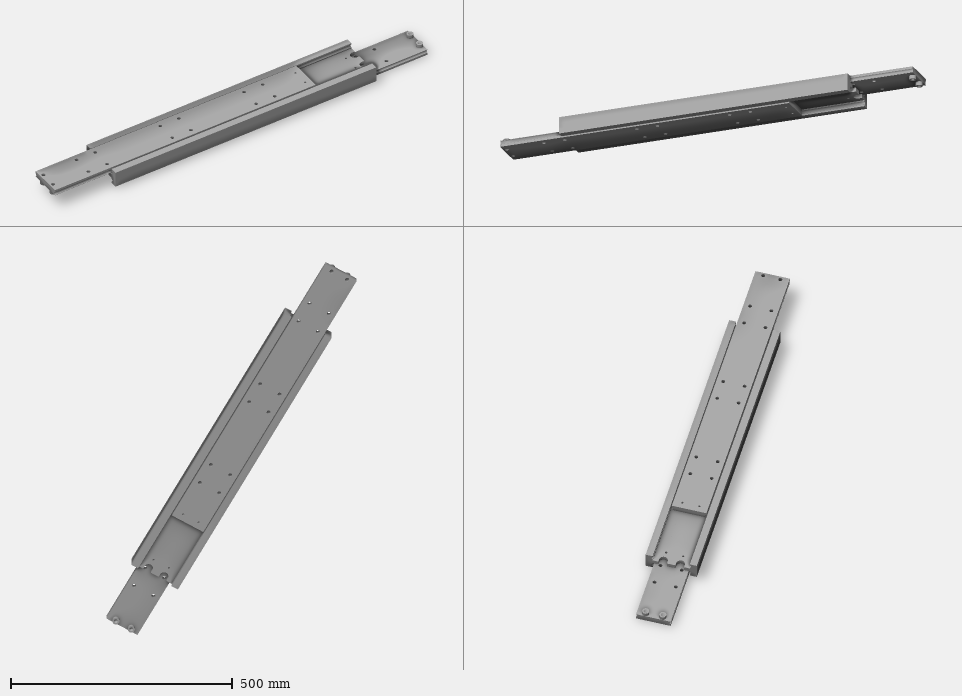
import cadquery as cq
member_length = 700.0
travel = 150.0
total_height = 44.0

rail_width = 120.0
rail_height = 40.0
web_thickness = 10.0
channel_width = 87.0

slide_width = 81.0
slide_thickness = 15.0
slide_bottom = total_height / 2 - slide_thickness

groove_radius = 4.5
groove_x = (channel_width + slide_width) / 4
groove_z = 12.0

mount_diameter = 8.5
mount_x = 25.0
mount_offsets = (25.0, 200.0, 250.0)

stop_x = 20.0
stop_diameter = 16.0
stop_height = 9.0
stop_bore_diameter = 9.0
stop_recess_diameter = 9.0
stop_recess_depth = 5.0

slot_width = 20.0
slot_length = 17.0
screw_diameter = 5.0
rail_screw_from_end = 30.0
slide_screw_from_end = 15.0


def cylinders(points, diameter, bottom, height):
    """Upright cylinders standing at the given (x, y) points."""
    return (
        cq.Workplane("XY").workplane(offset=bottom)
        .pushPoints(points).circle(diameter / 2).extrude(height)
    )


def ball_grooves(z):
    """A round track along each side of the channel, centred at height z."""
    return (
        cq.Workplane("XZ")
        .pushPoints([(-groove_x, z), (groove_x, z)])
        .circle(groove_radius).extrude(member_length / 2, both=True)
    )


def make_rail():
    rail = cq.Workplane("XY").box(rail_width, member_length, rail_height)
    channel_depth = (rail_height - web_thickness) / 2
    for side in (-1, 1):
        channel_z = side * (web_thickness + channel_depth) / 2
        channel = cq.Workplane("XY").box(channel_width, member_length, channel_depth)
        rail = rail.cut(channel.translate((0, 0, channel_z))).cut(ball_grooves(side * groove_z))

    straight_length = slot_length - slot_width / 2
    for end in (-1, 1):
        round_y = end * (member_length / 2 - straight_length)
        round_points = [(-stop_x, round_y), (stop_x, round_y)]
        rail = rail.cut(cylinders(round_points, slot_width, -web_thickness / 2, web_thickness))
        mouth_y = end * (member_length - straight_length) / 2
        mouths = (
            cq.Workplane("XY").pushPoints([(-stop_x, mouth_y), (stop_x, mouth_y)])
            .rect(slot_width, straight_length).extrude(web_thickness / 2, both=True)
        )
        rail = rail.cut(mouths)

    screw_y = member_length / 2 - rail_screw_from_end
    screws = [(x, y) for x in (-stop_x, stop_x) for y in (-screw_y, screw_y)]
    return rail.cut(cylinders(screws, screw_diameter, -web_thickness / 2, web_thickness))


def make_slide():
    """Upper slide, centred along Y, with its end stops at the -Y end."""
    half_length = member_length / 2
    slide = (
        cq.Workplane("XY")
        .box(slide_width, member_length, slide_thickness)
        .translate((0, 0, slide_bottom + slide_thickness / 2))
        .cut(ball_grooves(groove_z))
    )

    stop_y = stop_diameter / 2 - half_length
    stop_points = [(-stop_x, stop_y), (stop_x, stop_y)]
    stop_bottom = slide_bottom - stop_height
    slide = slide.union(cylinders(stop_points, stop_diameter, stop_bottom, stop_height))
    slide = slide.cut(cylinders(stop_points, stop_bore_diameter, slide_bottom, slide_thickness))
    for x, y in stop_points:
        recess = cq.Solid.makeCone(
            stop_recess_diameter / 2, 0, stop_recess_depth, pnt=cq.Vector(x, y, stop_bottom)
        )
        slide = slide.cut(cq.Workplane(recess))

    mounts = [
        (x, end * y) for x in (-mount_x, mount_x) for y in mount_offsets for end in (-1, 1)
    ]
    slide = slide.cut(cylinders(mounts, mount_diameter, slide_bottom, slide_thickness))

    screw_y = half_length - slide_screw_from_end
    screws = [(-stop_x, screw_y), (stop_x, screw_y)]
    return slide.cut(cylinders(screws, screw_diameter, slide_bottom, slide_thickness))


rail = make_rail()

upper_slide = make_slide().translate((0, -travel, 0))
slides = [
    upper_slide.rotate((0, 0, 0), (1, 0, 0), angle).val() for angle in (0, 180)
]

result = cq.Compound.makeCompound([rail.val(), *slides])